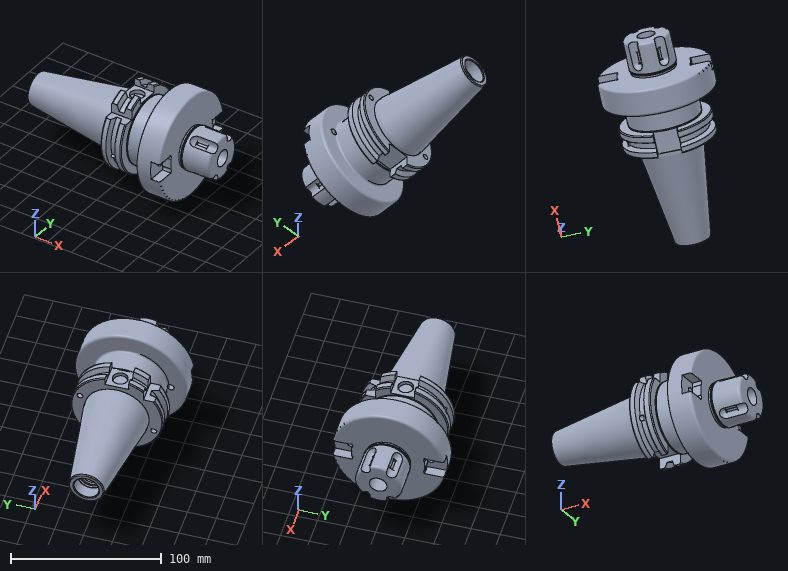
import cadquery as cq
import math


overall_length = 147.4
gauge_x = 68.4
gauge_radius = 22.3
taper_on_diameter = 7 / 24
taper_end_radius = gauge_radius - gauge_x * taper_on_diameter / 2
taper_end_chamfer = 0.7

flange_x = 71.5
flange_length = 16.0
flange_end_x = flange_x + flange_length
flange_mid_x = flange_x + flange_length / 2
flange_radius = 31.8
flange_chamfer = 0.7
groove_floor_radius = 28.2
groove_mid_x = 79.3
groove_floor_half_width = 1.9
groove_mouth_half_width = 3.5

drive_slot_width = 16.4
top_slot_floor = 25.4
bottom_slot_floor = 22.7
notch_corner = 18.4
chip_hole_diameter = 10.3
chip_hole_depth = 5.0
coolant_hole_diameter = 4.0
coolant_circle_radius = 27.1
coolant_hole_angle = 20.3
coolant_hole_end_x = 79.5
drill_point_length = 1.2

body_radius = 25.0
body_fillet = 1.2
body_relief_end_x = 88.5
body_relief_radius = 24.9

collar_x = 104.5
collar_end_x = 123.0
collar_diameter = 78.0
collar_radius = collar_diameter / 2
collar_fillet = 1.8
collar_slot_x = 116.2
collar_slot_width = 13.9
collar_slot_floor = 25.0
corner_relief_width = 3.1
corner_relief_depth = 0.6
collar_hole_diameter = 4.7
collar_hole_offset = 27.4

neck_radius = 15.5
neck_groove_x = 124.3
neck_groove_width = 0.5
neck_groove_radius = 15.0
nut_x = 125.6
nut_radius = 16.0
nut_fillet = 2.0
nut_slot_x = 128.5
nut_slot_mouth_width = 7.7
nut_slot_mouth_offset = 15.5
nut_slot_flank_angle = 30
nut_slot_floor_radius = 3.1
nut_slot_tilt = 35.5
nut_slot_overrun = 1.5
nut_relief_x = 131.3
nut_relief_end_x = 140.0
nut_relief_radius = 12.1
nut_relief_inner_radius = 10.6

bore_mouth_radius = 9.1
entry_radius = 8.5
entry_depth = 9.1
pilot_radius = 8.3
pilot_depth = 10.9
through_radius = 6.0
through_chamfer = 0.9


def box(x_range, y_range, z_range):
    """Axis-aligned block between the given limits."""
    sizes = [high - low for low, high in (x_range, y_range, z_range)]
    corner = (x_range[0], y_range[0], z_range[0])
    return cq.Workplane("XY").box(*sizes, centered=False).translate(corner)


def cylinder_along_x(x_start, x_end, radius, y=0.0, z=0.0):
    """Cylinder parallel to the X axis."""
    circle = cq.Workplane("YZ", origin=(x_start, y, z)).circle(radius)
    return circle.extrude(x_end - x_start)


def revolve_about_x(points):
    """Turn a closed (x, radius) outline about the X axis."""
    outline = cq.Workplane("XY").polyline(points).close()
    return outline.revolve(360, (0, 0, 0), (1, 0, 0))


def make_shank():
    chamfer_radius = taper_end_radius - taper_end_chamfer
    return revolve_about_x([
        (0, 0),
        (0, chamfer_radius),
        (taper_end_chamfer, taper_end_radius),
        (gauge_x, gauge_radius),
        (flange_x, gauge_radius),
        (flange_x, 0),
    ])


def make_flange():
    flange = cylinder_along_x(flange_x, flange_end_x, flange_radius).edges().chamfer(flange_chamfer)
    groove = revolve_about_x([
        (groove_mid_x - groove_mouth_half_width, flange_radius),
        (groove_mid_x - groove_floor_half_width, groove_floor_radius),
        (groove_mid_x + groove_floor_half_width, groove_floor_radius),
        (groove_mid_x + groove_mouth_half_width, flange_radius),
    ])
    return flange.cut(groove)


def cut_flange_details(flange):
    flange_span = (flange_x, flange_end_x)
    slot_span = (-drive_slot_width / 2, drive_slot_width / 2)
    flange = flange.cut(box(flange_span, slot_span, (top_slot_floor, flange_radius)))
    flange = flange.cut(box(flange_span, slot_span, (-flange_radius, -bottom_slot_floor)))

    flange = flange.cut(
        box(flange_span, (-flange_radius, -notch_corner), (notch_corner, flange_radius))
    )

    pocket = cq.Workplane("XY", origin=(flange_mid_x, 0, top_slot_floor - chip_hole_depth))
    flange = flange.cut(pocket.circle(chip_hole_diameter / 2).extrude(chip_hole_depth))

    radius = coolant_hole_diameter / 2
    drill = revolve_about_x([
        (flange_x, 0),
        (flange_x, radius),
        (coolant_hole_end_x, radius),
        (coolant_hole_end_x + drill_point_length, 0),
    ]).translate((0, coolant_circle_radius, 0))
    for angle in (coolant_hole_angle, coolant_hole_angle + 180):
        flange = flange.cut(drill.rotate((0, 0, 0), (1, 0, 0), angle))
    return flange


def make_body():
    core = cylinder_along_x(flange_x, flange_end_x, bottom_slot_floor)
    relief = cylinder_along_x(flange_end_x, body_relief_end_x, body_relief_radius)
    barrel = cylinder_along_x(body_relief_end_x, collar_x, body_radius)

    ring_x = collar_x - body_fillet
    ring_radius = body_radius + body_fillet
    arc_middle = (
        ring_x + body_fillet * math.sin(math.pi / 4),
        ring_radius - body_fillet * math.cos(math.pi / 4),
    )
    outline = (
        cq.Workplane("XY")
        .moveTo(ring_x, 0)
        .lineTo(ring_x, body_radius)
        .threePointArc(arc_middle, (collar_x, ring_radius))
        .lineTo(collar_x, 0)
        .close()
    )
    fillet_ring = outline.revolve(360, (0, 0, 0), (1, 0, 0))
    return core.union(relief).union(barrel).union(fillet_ring)


def make_collar():
    collar = cylinder_along_x(collar_x, collar_end_x, collar_radius).edges().fillet(collar_fillet)
    half_width = collar_slot_width / 2
    slot = box(
        (collar_slot_x, collar_end_x),
        (collar_slot_floor, collar_radius),
        (-half_width, half_width),
    )
    for side in (-1, 1):
        corner = side * half_width
        inner = side * (half_width - corner_relief_width)
        relief = (
            cq.Workplane("YZ", origin=(collar_slot_x, 0, 0))
            .moveTo(collar_slot_floor, corner)
            .threePointArc(
                (collar_slot_floor - corner_relief_depth, (corner + inner) / 2),
                (collar_slot_floor, inner),
            )
            .close()
            .extrude(collar_end_x - collar_slot_x)
        )
        slot = slot.union(relief)
    hole = cylinder_along_x(
        collar_x, collar_slot_x, collar_hole_diameter / 2, y=collar_hole_offset
    )
    for angle in (0, 180):
        collar = collar.cut(slot.union(hole).rotate((0, 0, 0), (1, 0, 0), angle))
    return collar


def make_nut_slot():
    """Wrench slot on the +Z side: flared flanks, round floor, cone-shaped inner end."""
    flank = math.radians(nut_slot_flank_angle)
    mouth_half_width = nut_slot_mouth_width / 2
    arc_half_width = nut_slot_floor_radius * math.cos(flank)
    arc_end = nut_slot_mouth_offset - (mouth_half_width - arc_half_width) / math.tan(flank)
    arc_centre = arc_end + nut_slot_floor_radius * math.sin(flank)
    floor = arc_centre - nut_slot_floor_radius
    middle_angle = (math.pi / 2 - flank) / 2
    arc_middle = (
        nut_slot_floor_radius * math.sin(middle_angle),
        arc_centre - nut_slot_floor_radius * math.cos(middle_angle),
    )
    top = nut_radius + nut_slot_overrun
    top_half_width = mouth_half_width + (top - nut_slot_mouth_offset) * math.tan(flank)
    end_x = nut_slot_x + mouth_half_width

    def half_profile():
        return (
            cq.Workplane("YZ", origin=(end_x, 0, 0))
            .moveTo(0, floor)
            .threePointArc(arc_middle, (arc_half_width, arc_end))
            .lineTo(top_half_width, top)
            .lineTo(0, top)
            .close()
        )

    half_slot = half_profile().extrude(overall_length - end_x)
    round_end = half_profile().revolve(360, (0, 0, 0), (0, 1, 0))
    return half_slot.union(half_slot.mirror("XZ")).union(round_end)


def make_nut():
    neck = cylinder_along_x(collar_end_x, nut_x, neck_radius)
    neck_groove = cylinder_along_x(
        neck_groove_x, neck_groove_x + neck_groove_width, neck_radius
    ).cut(cylinder_along_x(collar_end_x, nut_x, neck_groove_radius))
    nut = cylinder_along_x(nut_x, overall_length, nut_radius).faces(">X").edges().fillet(nut_fillet)

    relief = cylinder_along_x(nut_relief_x, nut_relief_end_x, nut_relief_radius).cut(
        cylinder_along_x(nut_relief_x, nut_relief_end_x, nut_relief_inner_radius)
    )
    nut = nut.cut(relief)

    slot = make_nut_slot()
    for angle in (
        nut_slot_tilt,
        -nut_slot_tilt,
        180 + nut_slot_tilt,
        180 - nut_slot_tilt,
    ):
        nut = nut.cut(slot.rotate((0, 0, 0), (1, 0, 0), angle))
    return neck.cut(neck_groove).union(nut)


def make_bore():
    mouth_chamfer = bore_mouth_radius - entry_radius
    return revolve_about_x([
        (0, 0),
        (0, bore_mouth_radius),
        (mouth_chamfer, entry_radius),
        (entry_depth, entry_radius),
        (entry_depth, pilot_radius),
        (pilot_depth, pilot_radius),
        (pilot_depth, through_radius + through_chamfer),
        (pilot_depth + through_chamfer, through_radius),
        (overall_length, through_radius),
        (overall_length, 0),
    ])


holder = make_shank().union(cut_flange_details(make_flange()))
for section in (make_body(), make_collar(), make_nut()):
    holder = holder.union(section)
result = holder.cut(make_bore())